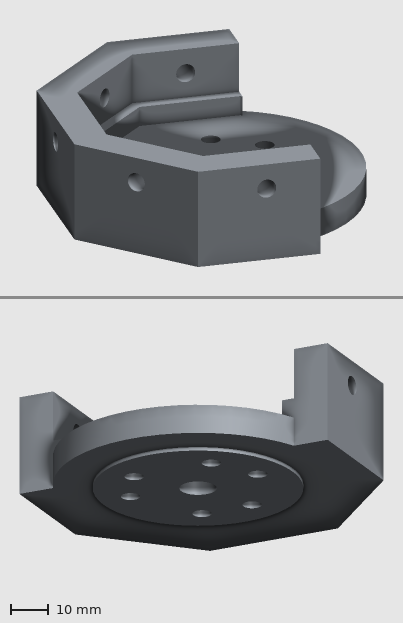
import cadquery as cq
import math

across_flats = 91.3
wall_thickness = 10.0
wall_height = 27.5

floor_thickness = 8.0
spigot_diameter = 56.0
spigot_height = 1.0

ledge_width = 3.0
ledge_height = 5.5
ledge_tip = 0.5

center_hole_diameter = 10.0
screw_hole_diameter = 5.2
bolt_circle_radius = 19.0
bolt_pair_half_angle = 23.0
bolt_pair_directions = (30, 150, 270)
wall_hole_height = 20.5
wall_hole_directions = (180, 225, 270, 315, 360)

octagon_half_side_ratio = math.tan(math.pi / 8)
outer_apothem = across_flats / 2
inner_apothem = outer_apothem - wall_thickness
ledge_apothem = inner_apothem - ledge_width
open_end_y = inner_apothem * octagon_half_side_ratio
floor_radius = math.hypot(inner_apothem, open_end_y)


def open_octagon(apothem, height):
    """Prism of the octagon part on the -Y side of the open end of the wall."""
    half_side = apothem * octagon_half_side_ratio
    outline = [
        (-apothem, open_end_y),
        (-apothem, -half_side),
        (-half_side, -apothem),
        (half_side, -apothem),
        (apothem, -half_side),
        (apothem, open_end_y),
    ]
    return cq.Workplane("XY").polyline(outline).close().extrude(height)


def make_wall():
    return open_octagon(outer_apothem, wall_height).cut(open_octagon(inner_apothem, wall_height))


def make_ledge_tip(side):
    """Small triangular flare at one end of the ledge; side is -1 or +1 along X."""
    face_x = side * ledge_apothem
    outline = [
        (face_x, open_end_y - ledge_tip),
        (face_x, open_end_y),
        (face_x - side * ledge_tip, open_end_y),
    ]
    return cq.Workplane("XY").polyline(outline).close().extrude(floor_thickness + ledge_height)


def make_ledge():
    ledge_top = floor_thickness + ledge_height
    ledge = open_octagon(inner_apothem, ledge_top).cut(open_octagon(ledge_apothem, ledge_top))
    for side in (-1, 1):
        ledge = ledge.union(make_ledge_tip(side))
    return ledge


def make_floor():
    disc = cq.Workplane("XY").circle(floor_radius).extrude(floor_thickness)
    spigot = cq.Workplane("XY").circle(spigot_diameter / 2).extrude(-spigot_height)
    return disc.union(spigot)


def floor_holes():
    depth = floor_thickness + spigot_height
    bolt_points = []
    for direction in bolt_pair_directions:
        for offset in (-bolt_pair_half_angle, bolt_pair_half_angle):
            angle = math.radians(direction + offset)
            x = bolt_circle_radius * math.cos(angle)
            y = bolt_circle_radius * math.sin(angle)
            bolt_points.append((x, y))
    base = cq.Workplane("XY").workplane(offset=-spigot_height)
    center_hole = base.circle(center_hole_diameter / 2).extrude(depth)
    bolt_holes = base.pushPoints(bolt_points).circle(screw_hole_diameter / 2).extrude(depth)
    return center_hole.union(bolt_holes)


def wall_hole(direction):
    """Radial screw hole from the part axis out through the wall face in this direction."""
    section = cq.Workplane("YZ").center(0, wall_hole_height).circle(screw_hole_diameter / 2)
    return section.extrude(outer_apothem).rotate((0, 0, 0), (0, 0, 1), direction)


result = make_wall().union(make_ledge()).union(make_floor()).cut(floor_holes())
for direction in wall_hole_directions:
    result = result.cut(wall_hole(direction))